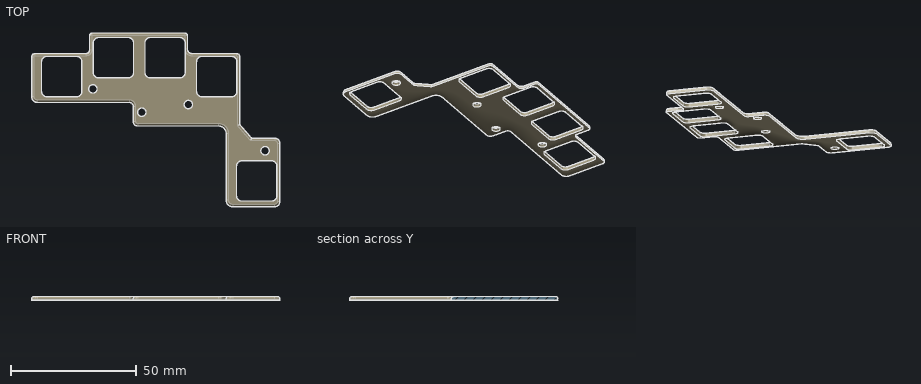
import cadquery as cq

length = 99.1
depth = 69.4
thickness = 1.6
rim_radius = 1.0

shoulder_y = 61.2
left_arm_bottom_y = 41.6
body_bottom_y = 32.2
lower_arm_top_y = 27.4
ramp_start_y = 32.8
top_left_x = 23.1
top_right_x = 62.2
body_left_x = 40.5
body_right_x = 83.1
ramp_end_x = 87.8
lower_arm_left_x = 77.6

outline_corners = [
    (0, left_arm_bottom_y, 2.4),
    (body_left_x, left_arm_bottom_y, 1.5),
    (body_left_x, body_bottom_y, 1.9),
    (lower_arm_left_x, body_bottom_y, 3.0),
    (lower_arm_left_x, 0, 2.7),
    (length, 0, 2.2),
    (length, lower_arm_top_y, 2.1),
    (ramp_end_x, lower_arm_top_y, 0),
    (body_right_x, ramp_start_y, 0),
    (body_right_x, shoulder_y, 1.4),
    (top_right_x, shoulder_y, 1.7),
    (top_right_x, depth, 1.1),
    (top_left_x, depth, 1.1),
    (top_left_x, shoulder_y, 1.4),
    (0, shoulder_y, 1.4),
]

opening_size = 16.0
opening_corner_radius = 2.0
opening_pitch = 20.6
first_opening_x = 4.1
outer_opening_y = 44.0
inner_opening_y = 51.5
lower_opening_x = 81.8
lower_opening_y = 2.4
opening_corners = [
    (first_opening_x, outer_opening_y),
    (first_opening_x + opening_pitch, inner_opening_y),
    (first_opening_x + 2 * opening_pitch, inner_opening_y),
    (first_opening_x + 3 * opening_pitch, outer_opening_y),
    (lower_opening_x, lower_opening_y),
]

hole_diameter = 3.3
hole_centers = [(24.5, 47.1), (44.0, 37.7), (62.5, 40.8), (93.1, 22.4)]


def make_plate():
    """Stepped plate with rounded corners and a rounded upper rim."""
    points = [(x, y) for x, y, _ in outline_corners]
    plate = cq.Workplane("XY").polyline(points).close().extrude(thickness)
    for x, y, radius in outline_corners:
        if radius > 0:
            corner = cq.NearestToPointSelector((x, y, thickness / 2))
            plate = plate.edges("|Z").edges(corner).fillet(radius)
    return plate.faces(">Z").edges().fillet(rim_radius)


def make_openings():
    """Round-cornered square prisms to be cut from the plate."""
    half = opening_size / 2
    centers = [(x + half, y + half) for x, y in opening_corners]
    prisms = cq.Workplane("XY").pushPoints(centers).rect(opening_size, opening_size).extrude(thickness)
    return prisms.edges("|Z").fillet(opening_corner_radius)


def make_holes():
    """Round pins to be cut from the plate."""
    return cq.Workplane("XY").pushPoints(hole_centers).circle(hole_diameter / 2).extrude(thickness)


result = make_plate().cut(make_openings()).cut(make_holes())